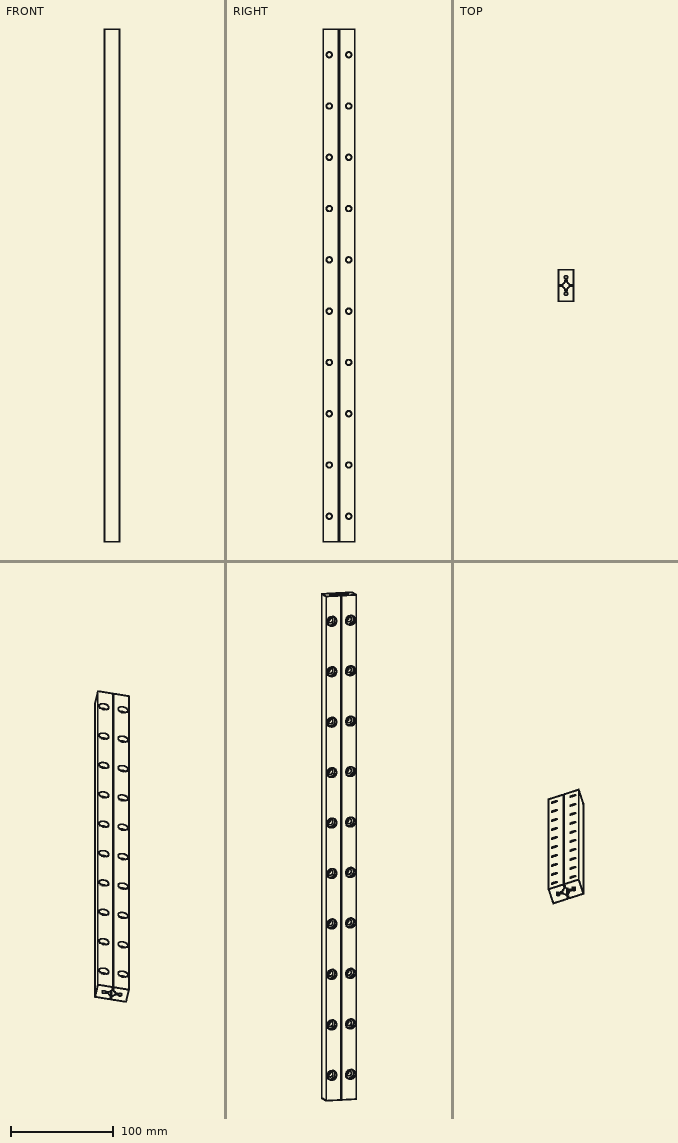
import cadquery as cq
import math

pair_height = 15.0
pair_width = 31.0
rail_length = 500.0

rail_gap = 1.0
roller_diameter = 6.0
track_apex = roller_diameter / math.sqrt(2)
relief_width = 1.5
relief_depth = 0.75

hole_count = 10
hole_pitch = 50.0
hole_edge_distance = 6.0
hole_radius = 2.6
counterbore_diameter = 9.5
counterbore_depth = 5.5
first_hole_z = (rail_length - (hole_count - 1) * hole_pitch) / 2
hole_y = pair_width / 2 - hole_edge_distance

end_hole_diameter = 3.2
end_hole_offset = 8.0
end_hole_depth = 7.5

end_chamfer = 0.2


def rail_blank():
    """Rail on the +Y side of the mid-plane, with the V track and its relief slot."""
    half_height = pair_height / 2
    half_relief = relief_width / 2
    inner_y = rail_gap / 2
    upper_half = [
        (half_height, pair_width / 2),
        (half_height, inner_y),
        (track_apex - inner_y, inner_y),
        (half_relief, track_apex - half_relief),
        (half_relief, track_apex + relief_depth),
    ]
    lower_half = [(-x, y) for x, y in reversed(upper_half)]
    blank = cq.Workplane("XY").polyline(upper_half + lower_half).close().extrude(rail_length)
    return blank.faces("<Z or >Z").edges("<X or >X or >Y").chamfer(end_chamfer)


def mounting_holes():
    """Row of through holes along X, counterbored from the -X face."""
    positions = [(hole_y, first_hole_z + i * hole_pitch) for i in range(hole_count)]
    face = cq.Workplane("YZ", origin=(-pair_height / 2, 0, 0)).pushPoints(positions)
    shanks = face.circle(hole_radius).extrude(pair_height)
    heads = face.circle(counterbore_diameter / 2).extrude(counterbore_depth)
    return shanks.union(heads)


def end_holes():
    """Blind holes along Z, one from each end face."""
    bottom = cq.Workplane("XY").center(0, end_hole_offset).circle(end_hole_diameter / 2)
    bottom = bottom.extrude(end_hole_depth)
    top = bottom.translate((0, 0, rail_length - end_hole_depth))
    return bottom.union(top)


def make_rail(mirrored):
    """One complete rail on the +Y side, or its mirror image on the -Y side."""
    rail = rail_blank().cut(mounting_holes()).cut(end_holes())
    return rail.mirror("XZ") if mirrored else rail


rails = [make_rail(mirrored) for mirrored in (False, True)]
result = cq.Compound.makeCompound([rail.val() for rail in rails])